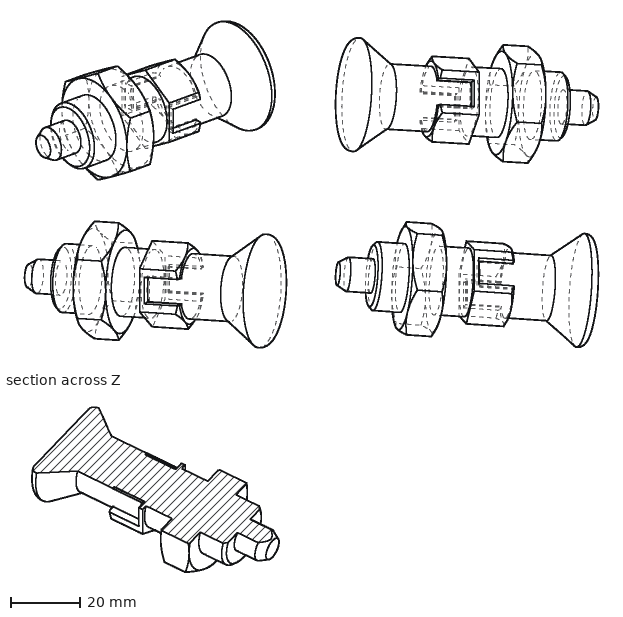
import cadquery as cq
import math


PIN_DIAMETER = 10.0
PIN_LENGTH = 10.0
PIN_TIP_DIAMETER = 6.8
PIN_TIP_HALF_ANGLE = 30.0

BODY_DIAMETER = 20.0
BODY_CHAMFER = 1.0
BODY_HEX_START = 28.0
BODY_HEX_LENGTH = 12.0
BODY_HEX_FLATS = 22.0

NUT_START = 9.0
NUT_LENGTH = 10.0
NUT_FLATS = 30.0

HEX_CHAMFER_ANGLE = 30.0
HEX_SIDES = 6
HEX_HALF_SECTOR = 180 / HEX_SIDES

SLEEVE_DIAMETER = 19.0
KNOB_DIAMETER = 33.0
KNOB_END = 64.0
CONE_START = 52.35
CONE_LENGTH = 9.35
RIM_FILLET = 2.0

SLOT_WIDTH = 7.8
SLOT_LENGTH = 10.6
SLOT_FLOOR = 8.0
TONGUE_SIDE_CLEARANCE = 0.2
TONGUE_END_CLEARANCE = 0.5

BODY_HEX_END = BODY_HEX_START + BODY_HEX_LENGTH


def revolve_profile(points):
    """Turn a closed (radius, y) outline around the Y axis."""
    return cq.Workplane("XY").polyline(points).close().revolve(360, (0, 0, 0), (0, 1, 0))


def cylinder(diameter, start, end):
    """Cylinder around the Y axis between two Y stations."""
    radius = diameter / 2
    return revolve_profile([(0, start), (radius, start), (radius, end), (0, end)])


def hexagon(flats, start, length, chamfer_start):
    """Hexagonal prism with flats facing +-X and conically chamfered corners."""
    flat_radius = flats / 2
    corner_radius = flat_radius / math.cos(math.radians(HEX_HALF_SECTOR))
    chamfer_length = (corner_radius - flat_radius) * math.tan(math.radians(HEX_CHAMFER_ANGLE))
    end = start + length

    prism = (
        cq.Workplane("XZ", origin=(0, start, 0))
        .transformed(rotate=(0, 0, HEX_HALF_SECTOR))
        .polygon(HEX_SIDES, 2 * corner_radius)
        .extrude(-length)
    )
    outline = [(0, start)]
    if chamfer_start:
        outline += [(flat_radius, start), (corner_radius, start + chamfer_length)]
    else:
        outline += [(corner_radius, start)]
    outline += [(corner_radius, end - chamfer_length), (flat_radius, end), (0, end)]
    return prism.intersect(revolve_profile(outline))


def make_pin():
    radius = PIN_DIAMETER / 2
    tip_radius = PIN_TIP_DIAMETER / 2
    tip_length = (radius - tip_radius) / math.tan(math.radians(PIN_TIP_HALF_ANGLE))
    return revolve_profile([
        (0, -PIN_LENGTH),
        (tip_radius, -PIN_LENGTH),
        (radius, tip_length - PIN_LENGTH),
        (radius, BODY_CHAMFER),
        (0, BODY_CHAMFER),
    ])


def make_slot_block(side, width, start):
    """Block filling a slot in one hexagon face; side is +1 or -1 along X."""
    depth = BODY_HEX_FLATS / 2 - SLOT_FLOOR
    length = BODY_HEX_END - start
    center_x = side * (SLOT_FLOOR + depth / 2)
    return cq.Workplane("XY").box(depth, length, width).translate((center_x, start + length / 2, 0))


def make_body():
    shank = cylinder(BODY_DIAMETER, 0, BODY_HEX_START).faces("<Y").chamfer(BODY_CHAMFER)
    body = shank.union(hexagon(BODY_HEX_FLATS, BODY_HEX_START, BODY_HEX_LENGTH, chamfer_start=False))

    slot_start = BODY_HEX_END - SLOT_LENGTH
    tongue_start = slot_start + TONGUE_END_CLEARANCE
    tongue_width = SLOT_WIDTH - 2 * TONGUE_SIDE_CLEARANCE
    sleeve_core = cylinder(SLEEVE_DIAMETER, tongue_start, BODY_HEX_END)
    for side in (-1, 1):
        body = body.cut(make_slot_block(side, SLOT_WIDTH, slot_start))
        tongue = sleeve_core.intersect(make_slot_block(side, tongue_width, tongue_start))
        body = body.union(tongue)
    return body


def make_knob():
    sleeve_radius = SLEEVE_DIAMETER / 2
    rim_radius = KNOB_DIAMETER / 2
    knob = revolve_profile([
        (0, BODY_HEX_END),
        (sleeve_radius, BODY_HEX_END),
        (sleeve_radius, CONE_START),
        (rim_radius, CONE_START + CONE_LENGTH),
        (rim_radius, KNOB_END),
        (0, KNOB_END),
    ])
    return knob.faces(">Y").edges().fillet(RIM_FILLET)


nut = hexagon(NUT_FLATS, NUT_START, NUT_LENGTH, chamfer_start=True)
result = make_body().union(make_pin()).union(nut).union(make_knob())